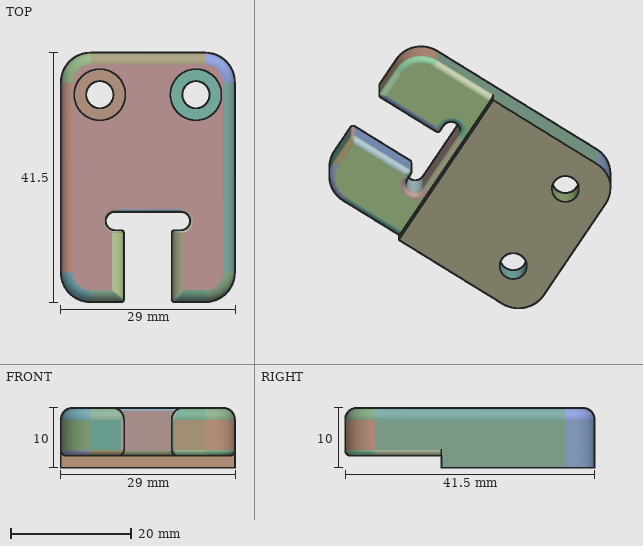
import cadquery as cq

width = 29.0
length = 41.5
height = 10.0
corner_radius = 5.0

lip_length = 16.03
lip_bottom = 2.0

top_round = 2.0
lip_round = 1.0
small_round = 0.5

mouth_width = 7.95
slot_front = 12.0
slot_width = 3.0
slot_length = 14.0
slot_center = slot_front + slot_width / 2

hole_diameter = 4.5
bore_diameter = 8.5
bore_depth = 5.0
hole_spacing = 16.0
hole_from_back = 7.0

tolerance = 0.005


def edges_in_box(body, x_range, y_range, z_range):
    """Select edges whose centers lie inside the given ranges."""
    low, high = zip(x_range, y_range, z_range)
    return body.edges(cq.selectors.BoxSelector(low, high))


def make_block():
    """Block with rounded corners, raised lip and open mouth."""
    block = cq.Workplane("XY").box(width, length, height, centered=(True, False, False))
    block = block.edges("|Z").fillet(corner_radius)
    under_lip = cq.Workplane("XY").box(width, lip_length, lip_bottom, centered=(True, False, False))
    mouth = cq.Workplane("XY").box(mouth_width, slot_front, height, centered=(True, False, False))
    return block.cut(under_lip).cut(mouth)


def round_top(body):
    return body.faces(">Z").edges().fillet(top_round)


def cut_cross_slot(body):
    slot = (
        cq.Workplane("XY")
        .center(0, slot_center)
        .slot2D(slot_length, slot_width)
        .extrude(height)
    )
    return body.cut(slot)


def round_lip_underside(body):
    """Round the lower lip edges, leaving its joint with the thick part sharp."""
    under = edges_in_box(
        body,
        (-width, width),
        (-tolerance, lip_length - tolerance),
        (lip_bottom - tolerance, lip_bottom + tolerance),
    )
    return under.fillet(lip_round)


def round_mouth_corners(body):
    """Round the outer mouth corners, including the mitres above and below."""
    half_mouth = mouth_width / 2
    for side in (-1, 1):
        x_limits = sorted((side * (half_mouth - tolerance), side * (half_mouth + top_round)))
        corner = edges_in_box(body, x_limits, (-tolerance, top_round / 2), (lip_bottom, height))
        body = corner.edges("|Z").fillet(small_round)
    return body


def drill_holes(body):
    hole_y = length - hole_from_back
    places = [(-hole_spacing / 2, hole_y), (hole_spacing / 2, hole_y)]
    return (
        body.faces(">Z")
        .workplane(origin=(0, 0, height))
        .pushPoints(places)
        .cboreHole(hole_diameter, bore_diameter, bore_depth)
    )


def round_slot_top(body):
    """Round the upper slot rim; the rounding runs on down the corners beside the mouth."""
    top = edges_in_box(
        body,
        (-slot_length / 2 - tolerance, slot_length / 2 + tolerance),
        (slot_front - tolerance, slot_front + slot_width + tolerance),
        (height - tolerance, height + tolerance),
    )
    return top.fillet(small_round)


result = make_block()
result = round_top(result)
result = cut_cross_slot(result)
result = round_lip_underside(result)
result = round_mouth_corners(result)
result = round_slot_top(result)
result = drill_holes(result)